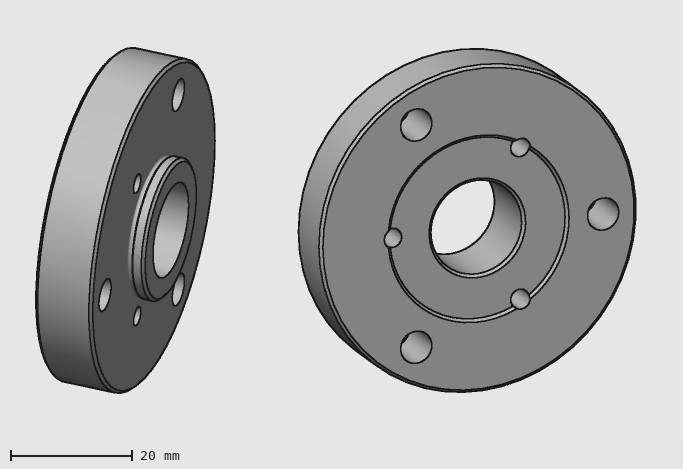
import cadquery as cq

flange_diameter = 56.0
flange_thickness = 10.0
total_length = 13.0
hub_diameter = 24.0
bore_diameter = 16.0
edge_chamfer = 0.5

neck_diameter = 23.6
neck_length = 0.4
neck_fillet = 0.3
undercut_length = 0.95
undercut_lip_diameter = 23.75

recess_diameter = 32.0
recess_depth = edge_chamfer

holes_per_ring = 3
large_hole_diameter = 5.5
large_hole_pitch_radius = 22.0
small_hole_diameter = 3.25
small_hole_pitch_radius = 15.0

flange_radius = flange_diameter / 2
hub_radius = hub_diameter / 2
neck_radius = neck_diameter / 2
neck_end = flange_thickness + neck_length


def turned_body():
    """Flange, undercut neck and hub as one revolved half section (X, radius)."""
    hub_start = flange_thickness + undercut_length
    lip_radius = undercut_lip_diameter / 2
    lip_start = hub_start - (hub_radius - lip_radius)
    section = (
        cq.Workplane("XY")
        .moveTo(0, 0)
        .lineTo(0, flange_radius - edge_chamfer)
        .lineTo(edge_chamfer, flange_radius)
        .lineTo(flange_thickness - edge_chamfer, flange_radius)
        .lineTo(flange_thickness, flange_radius - edge_chamfer)
        .lineTo(flange_thickness, neck_radius + neck_fillet)
        .radiusArc((flange_thickness + neck_fillet, neck_radius), -neck_fillet)
        .lineTo(neck_end, neck_radius)
        .lineTo(lip_start, lip_radius)
        .lineTo(hub_start, hub_radius)
        .lineTo(total_length - edge_chamfer, hub_radius)
        .lineTo(total_length, hub_radius - edge_chamfer)
        .lineTo(total_length, 0)
        .close()
    )
    return section.revolve(360, (0, 0, 0), (1, 0, 0))


def axial_cylinder(diameter, y=0.0):
    """Cutter along X through the whole part."""
    return cq.Workplane("YZ").center(y, 0).circle(diameter / 2).extrude(total_length)


def conical_sink(face_diameter, depth, start=0.0):
    """Cutter with a 45 degree wall, narrowing from the given X position."""
    cone = cq.Solid.makeCone(
        face_diameter / 2, face_diameter / 2 - depth, depth,
        cq.Vector(start, 0, 0), cq.Vector(1, 0, 0),
    )
    return cq.Workplane(obj=cone)


def drill_ring(body, diameter, pitch_y):
    """Cut equally spaced through holes, the first one on the Y axis."""
    cutter = axial_cylinder(diameter, pitch_y)
    for index in range(holes_per_ring):
        body = body.cut(cutter.rotate((0, 0, 0), (1, 0, 0), index * 360 / holes_per_ring))
    return body


result = turned_body()
result = result.cut(conical_sink(recess_diameter, recess_depth))
result = result.cut(axial_cylinder(bore_diameter))
result = result.cut(conical_sink(bore_diameter + 2 * edge_chamfer, edge_chamfer, recess_depth))
result = drill_ring(result, large_hole_diameter, -large_hole_pitch_radius)
result = drill_ring(result, small_hole_diameter, small_hole_pitch_radius)